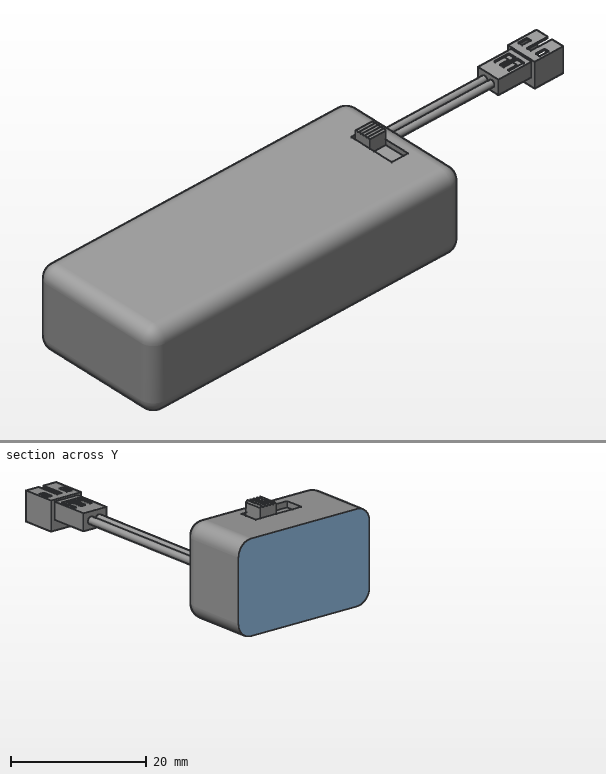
import cadquery as cq

CASE_WIDTH = 25.3
CASE_LENGTH = 63.0
CASE_HEIGHT = 15.4
CASE_RADIUS = 2.5
CASE_BACK = CASE_LENGTH / 2

SLOT_WIDTH = 8.8
SLOT_LENGTH = 3.3
SLOT_DEPTH = 1.0
SLOT_CENTER_X = 0.0
SLOT_TO_CASE_BACK = 5.2
SLOT_CENTER_Y = CASE_BACK - SLOT_TO_CASE_BACK
KNOB_WIDTH = 3.1
KNOB_CENTER_X = -1.97
KNOB_RISE = 1.9
TOOTH_COUNT = 5
TOOTH_HEIGHT = 0.3
TOOTH_PITCH = KNOB_WIDTH / TOOTH_COUNT

CABLE_X = -8.8
WIRE_Z = CASE_HEIGHT / 2
WIRE_DIAMETER = 1.25
WIRE_PITCH = 1.5
WIRE_LENGTH = 25.0
WIRE_EMBED = 1.5

HOUSING_WIDTH = 4.45
HOUSING_LENGTH = 6.7
HOUSING_HEIGHT = 2.85
HOUSING_TOP_ABOVE_WIRE = 1.45
HOUSING_TOP = WIRE_Z + HOUSING_TOP_ABOVE_WIRE
HOUSING_FRONT = CASE_BACK + WIRE_LENGTH
HOUSING_BACK = HOUSING_FRONT + HOUSING_LENGTH

POCKET_WIDTH = 1.5
POCKET_LENGTH = 3.0
POCKET_DEPTH = 0.3
POCKET_PITCH = 1.8
POCKET_TO_HOUSING_BACK = 0.95
POCKET_BACK = HOUSING_BACK - POCKET_TO_HOUSING_BACK
TONGUE_WIDTH = 0.9
TONGUE_LENGTH = 1.8

SOCKET_WIDTH = 5.8
SOCKET_LENGTH = 5.8
SOCKET_HEIGHT = 4.9
SOCKET_TOP_ABOVE_WIRE = 1.77
SOCKET_TOP = WIRE_Z + SOCKET_TOP_ABOVE_WIRE
SOCKET_WALL = 0.3
SOCKET_BACK = HOUSING_BACK + SOCKET_LENGTH
KEYWAY_WIDTH = 0.9
KEYWAY_LENGTH = 4.25
WINDOW_WIDTH = 0.9
WINDOW_LENGTH = 1.8
WINDOW_OFFSET = 1.9


def block(width, length, height, center_x, back_y, top_z):
    """Box located by its X centre, its back (+Y) face and its top face."""
    box = cq.Workplane("XY").box(width, length, height)
    return box.translate((center_x, back_y - length / 2, top_z - height / 2))


def make_case():
    """Rounded case with the shallow switch slot in its top."""
    case = block(CASE_WIDTH, CASE_LENGTH, CASE_HEIGHT, 0, CASE_BACK, CASE_HEIGHT)
    case = case.edges().fillet(CASE_RADIUS)
    slot_back = SLOT_CENTER_Y + SLOT_LENGTH / 2
    return case.cut(block(SLOT_WIDTH, SLOT_LENGTH, SLOT_DEPTH, SLOT_CENTER_X, slot_back, CASE_HEIGHT))


def make_knob():
    """Switch knob standing on the slot floor, with triangular grip ridges on top."""
    left = KNOB_CENTER_X - KNOB_WIDTH / 2
    right = left + KNOB_WIDTH
    floor = CASE_HEIGHT - SLOT_DEPTH
    crest = CASE_HEIGHT + KNOB_RISE
    root = crest - TOOTH_HEIGHT
    points = [(right, floor), (left, floor), (left, root)]
    for tooth in range(TOOTH_COUNT):
        tooth_left = left + tooth * TOOTH_PITCH
        points.append((tooth_left + TOOTH_PITCH / 2, crest))
        points.append((tooth_left + TOOTH_PITCH, root))
    profile = cq.Workplane("XZ", origin=(0, SLOT_CENTER_Y, 0)).polyline(points).close()
    return profile.extrude(SLOT_LENGTH / 2, both=True)


def make_wire(center_x):
    """Wire with both ends embedded in the case and the housing."""
    start = cq.Workplane("XZ", origin=(center_x, CASE_BACK - WIRE_EMBED, WIRE_Z))
    return start.circle(WIRE_DIAMETER / 2).extrude(-(WIRE_LENGTH + 2 * WIRE_EMBED))


def make_housing():
    """Solid crimp housing with two U-shaped recesses around the latch tongues."""
    housing = block(HOUSING_WIDTH, HOUSING_LENGTH, HOUSING_HEIGHT, CABLE_X, HOUSING_BACK, HOUSING_TOP)
    tongue_back = POCKET_BACK - POCKET_LENGTH + TONGUE_LENGTH
    for side in (-1, 1):
        x = CABLE_X + side * POCKET_PITCH / 2
        pocket = block(POCKET_WIDTH, POCKET_LENGTH, POCKET_DEPTH, x, POCKET_BACK, HOUSING_TOP)
        tongue = block(TONGUE_WIDTH, TONGUE_LENGTH, POCKET_DEPTH, x, tongue_back, HOUSING_TOP)
        housing = housing.cut(pocket.cut(tongue))
    return housing


def make_socket():
    """Hollow socket with an open-ended keyway and two latch windows in its top wall."""
    socket = block(SOCKET_WIDTH, SOCKET_LENGTH, SOCKET_HEIGHT, CABLE_X, SOCKET_BACK, SOCKET_TOP)
    cavity_width = SOCKET_WIDTH - 2 * SOCKET_WALL
    cavity_height = SOCKET_HEIGHT - 2 * SOCKET_WALL
    cavity_top = SOCKET_TOP - SOCKET_WALL
    socket = socket.cut(block(cavity_width, KEYWAY_LENGTH, cavity_height, CABLE_X, SOCKET_BACK, cavity_top))
    socket = socket.cut(block(KEYWAY_WIDTH, KEYWAY_LENGTH, SOCKET_WALL, CABLE_X, SOCKET_BACK, SOCKET_TOP))
    window_back = SOCKET_BACK - KEYWAY_LENGTH + WINDOW_LENGTH
    for side in (-1, 1):
        x = CABLE_X + side * WINDOW_OFFSET
        socket = socket.cut(block(WINDOW_WIDTH, WINDOW_LENGTH, SOCKET_WALL, x, window_back, SOCKET_TOP))
    return socket


result = make_case().union(make_knob())
for side in (-1, 1):
    result = result.union(make_wire(CABLE_X + side * WIRE_PITCH / 2))
result = result.union(make_housing()).union(make_socket())